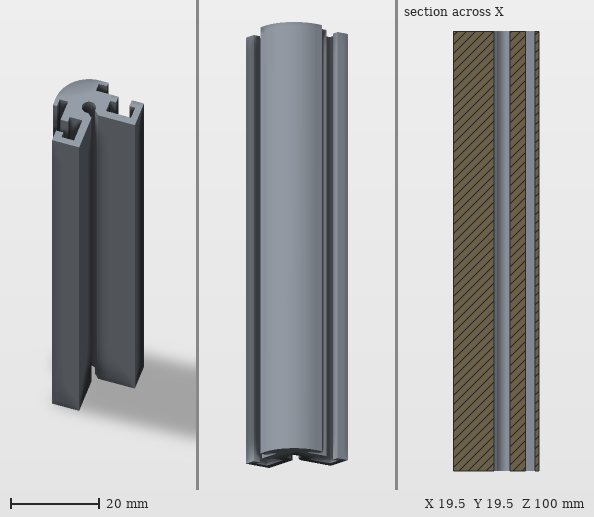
import cadquery as cq
import math

LENGTH = 100.0
OVERALL = 19.5
CORNER_RADIUS = 8.0
BORE_RADIUS = 1.6
DIAGONAL_ANGLE = 135.0

LIP_LENGTH = 2.0
LIP_THICKNESS = 1.0

ARM_OUTER_Y = 5.0
ARM_INNER_Y = -1.5
ARM_END_X = OVERALL - CORNER_RADIUS
SLOT_CENTER_X = 7.0
SLOT_OPENING = 3.2
SLOT_WIDTH = 6.0
SLOT_LIP = 1.75
SLOT_FLOOR = 1.75

MOUTH_START_ANGLE = -12.0
MOUTH_END_X = 2.7

slot_top = ARM_OUTER_Y - SLOT_LIP
slot_bottom = ARM_INNER_Y + SLOT_FLOOR
lip_bottom = CORNER_RADIUS - LIP_THICKNESS
opening_left = SLOT_CENTER_X - SLOT_OPENING / 2
opening_right = SLOT_CENTER_X + SLOT_OPENING / 2
slot_left = SLOT_CENTER_X - SLOT_WIDTH / 2
slot_right = SLOT_CENTER_X + SLOT_WIDTH / 2


def mirrored(point):
    """Reflect a point across the diagonal y = -x."""
    x, y = point
    return (-y, -x)


def on_circle(radius, angle_degrees):
    """Point on a circle about the origin."""
    angle = math.radians(angle_degrees)
    return (radius * math.cos(angle), radius * math.sin(angle))


arm_outline = [
    (0, CORNER_RADIUS),
    (LIP_LENGTH, CORNER_RADIUS),
    (LIP_LENGTH, lip_bottom),
    (0, lip_bottom),
    (0, ARM_OUTER_Y),
    (opening_left, ARM_OUTER_Y),
    (opening_left, slot_top),
    (slot_left, slot_top),
    (slot_left, slot_bottom),
    (slot_right, slot_bottom),
    (slot_right, slot_top),
    (opening_right, slot_top),
    (opening_right, ARM_OUTER_Y),
    (ARM_END_X, ARM_OUTER_Y),
    (ARM_END_X, ARM_INNER_Y),
    (MOUTH_END_X, ARM_INNER_Y),
    on_circle(BORE_RADIUS, MOUTH_START_ANGLE),
]
mirrored_outline = [mirrored(point) for point in reversed(arm_outline)]

profile = (
    cq.Workplane("XY")
    .polyline(arm_outline)
    .threePointArc(on_circle(BORE_RADIUS, DIAGONAL_ANGLE), mirrored_outline[0])
    .polyline(mirrored_outline[1:], includeCurrent=True)
    .threePointArc(on_circle(CORNER_RADIUS, DIAGONAL_ANGLE), arm_outline[0])
    .close()
)
result = profile.extrude(LENGTH)